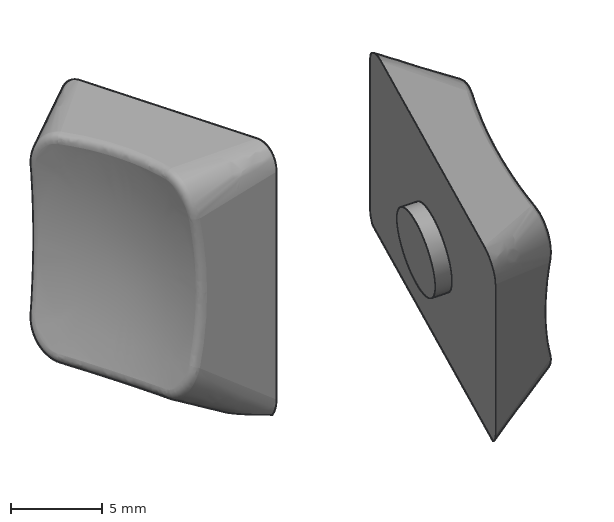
import cadquery as cq

base_width = 17.3
base_height = 16.3
base_corner_radius = 1.55
side_taper = 0.48
end_taper = 0.37
loft_depth = 4.85
front_corner_radius = 2.5

overall_height = 15.7
flat_z = base_height / 2 - overall_height

dish_radius = 22.49
dish_floor_depth = 3.0
rim_radius = 0.52

stem_diameter = 5.3
stem_length = 1.0


def rounded_outline(width, height, radius):
    """Rounded rectangle with matching vertices for the ruled loft."""
    return cq.Sketch().rect(width, height).vertices().fillet(radius)


def tapered_blank():
    front_width = base_width - 2 * side_taper * loft_depth
    front_height = base_height - 2 * end_taper * loft_depth
    back = rounded_outline(base_width, base_height, base_corner_radius)
    front = rounded_outline(front_width, front_height, front_corner_radius)
    return (
        cq.Workplane("XZ")
        .placeSketch(back, front.moved(cq.Location(cq.Vector(0, 0, loft_depth))))
        .loft(ruled=True)
    )


def dished_cap():
    dish_centre_y = -(dish_floor_depth + dish_radius)
    dish = cq.Workplane("XZ", origin=(0, dish_centre_y, 0)).sphere(dish_radius)
    cap = tapered_blank().cut(dish)
    rim = cap.faces("%SPHERE").edges()
    return rim.fillet(rim_radius)


def trim_lower_side(body):
    cutter = (
        cq.Workplane("XY", origin=(0, 0, flat_z))
        .rect(2 * base_width, 2 * base_width)
        .extrude(-base_height)
    )
    return body.cut(cutter)


def stem():
    return cq.Workplane("XZ").circle(stem_diameter / 2).extrude(-stem_length)


result = trim_lower_side(dished_cap()).union(stem())